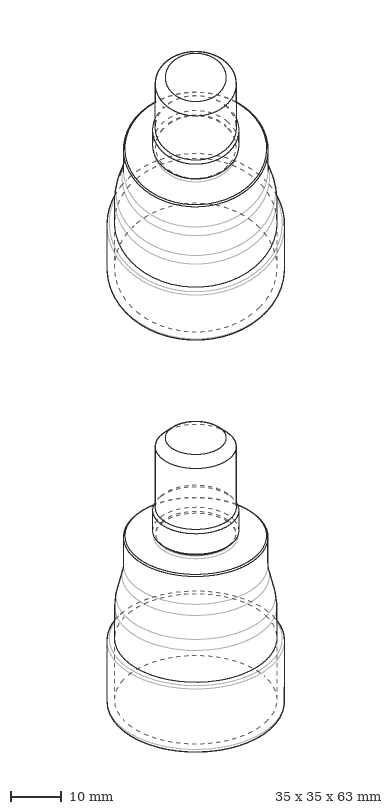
import cadquery as cq
import math

total_height = 63.0
cap_height = 16.0
shoulder_height = 40.0

cap_radius = 17.5
cap_wall = 1.5
cap_bottom_fillet = 1.2
cap_rim_fillet = 0.5
rim_slope = math.radians(6.0)

body_radius = cap_radius - cap_wall
neck_radius = 14.25
neck_edge_chamfer = 0.3
taper_base = 24.69
taper_length = 7.25
taper_fillet = 10.3

stud_radius = 8.0
stud_tip_chamfer = 2.0
collar_radius = 8.5
collar_top = 46.0
collar_chamfer_height = 0.7
undercut_radius = 7.9
undercut_floor_width = 0.2
undercut_fillet = 0.4


def make_cap():
    """Cup that covers the lower end of the plunger, with a sloping rim and rounded edges."""
    rim_rise = cap_wall * math.tan(rim_slope)
    outline = (
        cq.Workplane("XZ")
        .lineTo(cap_radius, 0)
        .lineTo(cap_radius, cap_height - rim_rise)
        .lineTo(body_radius, cap_height)
        .lineTo(body_radius, cap_wall)
        .lineTo(0, cap_wall)
        .close()
    )
    cup = outline.revolve(360, (0, 0, 0), (0, 1, 0))
    cup = cup.faces("<Z").edges().fillet(cap_bottom_fillet)
    rim_corner = cup.edges(cq.selectors.RadiusNthSelector(-1)).edges(">Z")
    return rim_corner.fillet(cap_rim_fillet)


def make_plunger():
    """Turned body with a tapered shoulder and a stud on top."""
    taper_angle = math.atan((body_radius - neck_radius) / taper_length)
    tangent_length = taper_fillet * math.tan(taper_angle / 2)
    arc_sagitta = taper_fillet * (1 - math.cos(taper_angle / 2))
    end_out = taper_fillet * (1 - math.cos(taper_angle))
    end_up = taper_fillet * math.sin(taper_angle)
    mid_up = taper_fillet * math.sin(taper_angle / 2)
    lower_tangent = taper_base - tangent_length
    upper_tangent = taper_base + taper_length + tangent_length
    undercut_mouth = undercut_radius + undercut_fillet
    undercut_floor_bottom = shoulder_height + undercut_fillet
    undercut_floor_top = undercut_floor_bottom + undercut_floor_width
    undercut_top = undercut_floor_top + collar_radius - undercut_radius

    outline = (
        cq.Workplane("XZ")
        .moveTo(0, cap_wall)
        .lineTo(body_radius, cap_wall)
        .lineTo(body_radius, lower_tangent)
        .threePointArc(
            (body_radius - arc_sagitta, lower_tangent + mid_up),
            (body_radius - end_out, lower_tangent + end_up),
        )
        .lineTo(neck_radius + end_out, upper_tangent - end_up)
        .threePointArc(
            (neck_radius + arc_sagitta, upper_tangent - mid_up),
            (neck_radius, upper_tangent),
        )
        .lineTo(neck_radius, shoulder_height - neck_edge_chamfer)
        .lineTo(neck_radius - neck_edge_chamfer, shoulder_height)
        .lineTo(undercut_mouth, shoulder_height)
        .radiusArc((undercut_radius, undercut_floor_bottom), undercut_fillet)
        .lineTo(undercut_radius, undercut_floor_top)
        .lineTo(collar_radius, undercut_top)
        .lineTo(collar_radius, collar_top)
        .lineTo(stud_radius, collar_top + collar_chamfer_height)
        .lineTo(stud_radius, total_height - stud_tip_chamfer)
        .lineTo(stud_radius - stud_tip_chamfer, total_height)
        .lineTo(0, total_height)
        .close()
    )
    return outline.revolve(360, (0, 0, 0), (0, 1, 0))


cap = make_cap()
plunger = make_plunger()

result = cq.Compound.makeCompound([cap.val(), plunger.val()])